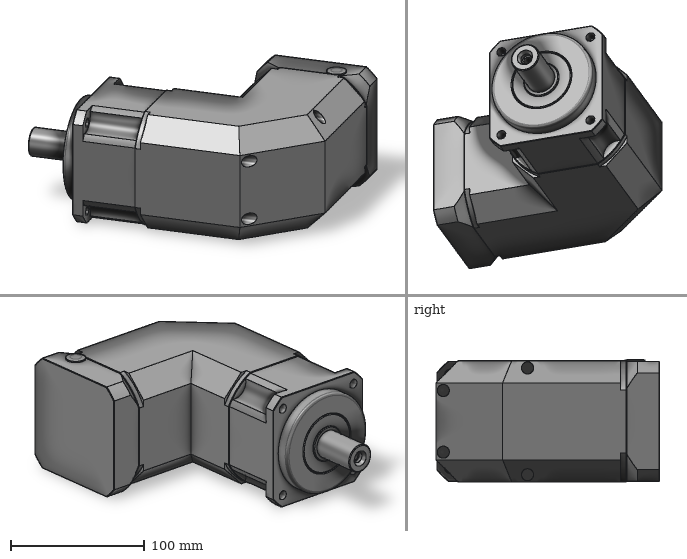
import cadquery as cq
import math


overall_length = 231.0
overall_height = 92.0
body_width = 91.0
stage_width = 89.9
half_body = body_width / 2
half_stage = stage_width / 2
input_axis_x = overall_length - half_body

collar_x = 36.5
pilot_x = 37.7
plate_x = 47.5
pocket_x = 56.0
joint_x = 97.3

joint_y = 97.5
taper_end_y = 105.3
adapter_end_y = 122.0

plate_corner_radius = 57.8
neck_corner_radius = 51.3
stage_corner_radius = 50.8
edge_chamfer = 0.5

body_chamfer = 16.6
neck_length = 4.6
bevel_offset = 4.5
access_hole_diameter = 9.0
access_hole_radius = 46.2
access_hole_angles = (60, 150, 210, 300)
access_hole_bottom_x = 161.7

pilot_diameter = 80.0
pilot_fillet = 2.0
seal_diameter = 47.0
seal_groove_depth = 0.7
plate_hole_diameter = 7.0
plate_hole_offset = 35.3
scoop_radius = 10.9
scoop_offset = 39.3

plug_diameter = 15.0
plug_top_diameter = 8.5
plug_x = 204.5
plug_y = 103.7
plug_root_z = half_stage - 2.3
plug_rim_z = 46.0
plug_top_z = overall_height - half_body

shaft_diameter = 22.0
shaft_chamfer = 0.7
collar_diameter = 28.0
collar_chamfer = 0.7
shaft_seat_depth = 46.2
countersink_diameter = 12.0
relief_diameter = 8.5
relief_depth = 6.0
tap_diameter = 6.0
tap_depth = 18.5
countersink_half_angle = 30
drill_half_angle = 59


def along_x(x):
    """Workplane at X = x facing +X, with local axes Y and Z."""
    return cq.Workplane("YZ", origin=(x, 0, 0))


def along_y(y):
    """Workplane on the input axis at Y = y facing +Y, with local axes Z and X."""
    return cq.Workplane("ZX", origin=(input_axis_x, y, 0))


def rounded_square(plane, width, corner_radius, length):
    """Square bar whose corners are cut back to a cylinder about its axis."""
    square = plane.rect(width, width).extrude(length)
    return square.intersect(plane.circle(corner_radius).extrude(length))


def cylinder_x(x, diameter, length):
    return along_x(x).circle(diameter / 2).extrude(length)


def make_angle_housing():
    inner_x = input_axis_x - half_body
    start_x = joint_x + neck_length
    end_y = joint_y - neck_length
    outline = [
        (start_x, -half_body),
        (input_axis_x - bevel_offset, -half_body),
        (overall_length, bevel_offset),
        (overall_length, end_y),
        (inner_x, end_y),
        (inner_x, half_body),
        (start_x, half_body),
    ]
    elbow = (
        cq.Workplane("XY", origin=(0, 0, -half_body))
        .polyline(outline)
        .close()
        .extrude(body_width)
    )
    elbow = elbow.faces("|Z").edges("not (<X or >Y)").chamfer(body_chamfer)
    output_neck = rounded_square(along_x(joint_x), body_width, neck_corner_radius, neck_length)
    output_neck = output_neck.faces("<X").edges().chamfer(edge_chamfer)
    input_neck = rounded_square(along_y(joint_y), body_width, neck_corner_radius, -neck_length)
    input_neck = input_neck.faces(">Y").edges().chamfer(edge_chamfer)
    return elbow.union(output_neck).union(input_neck).cut(make_access_holes())


def make_access_holes():
    """Blind holes parallel to X that break out of the bevel and side chamfers."""
    centres = [
        (
            access_hole_radius * math.cos(math.radians(angle)),
            access_hole_radius * math.sin(math.radians(angle)),
        )
        for angle in access_hole_angles
    ]
    return (
        along_x(access_hole_bottom_x)
        .pushPoints(centres)
        .circle(access_hole_diameter / 2)
        .extrude(overall_length - access_hole_bottom_x)
    )


def make_output_stage():
    plate = rounded_square(
        along_x(plate_x), stage_width, plate_corner_radius, pocket_x - plate_x
    )
    plate = plate.faces("<X").edges().chamfer(edge_chamfer)
    plate = plate.cut(
        along_x(plate_x)
        .rect(2 * plate_hole_offset, 2 * plate_hole_offset, forConstruction=True)
        .vertices()
        .circle(plate_hole_diameter / 2)
        .extrude(pocket_x - plate_x)
    )
    neck = rounded_square(
        along_x(pocket_x), stage_width, stage_corner_radius, joint_x - pocket_x
    )
    scoops = (
        along_x(pocket_x)
        .rect(2 * scoop_offset, 2 * scoop_offset, forConstruction=True)
        .vertices()
        .circle(scoop_radius)
        .extrude(joint_x - pocket_x)
    )
    pilot = (
        cylinder_x(pilot_x, pilot_diameter, plate_x - pilot_x)
        .faces("<X")
        .edges()
        .fillet(pilot_fillet)
    )
    seal_radius = seal_diameter / 2
    seal_groove = (
        cq.Workplane("XY")
        .polyline([
            (pilot_x, seal_radius - seal_groove_depth),
            (pilot_x + seal_groove_depth, seal_radius),
            (pilot_x, seal_radius + seal_groove_depth),
        ])
        .close()
        .revolve(360, (0, 0, 0), (1, 0, 0))
    )
    return plate.union(neck.cut(scoops)).union(pilot.cut(seal_groove))


def make_adapter():
    block = along_y(joint_y).rect(stage_width, stage_width).extrude(adapter_end_y - joint_y)
    envelope = (
        cq.Workplane("XY", origin=(input_axis_x, 0, 0))
        .moveTo(0, joint_y)
        .lineTo(neck_corner_radius, joint_y)
        .lineTo(plate_corner_radius, taper_end_y)
        .lineTo(plate_corner_radius, adapter_end_y)
        .lineTo(0, adapter_end_y)
        .close()
        .revolve(360, (0, 0, 0), (0, 1, 0))
    )
    block = block.intersect(envelope).faces(">Y").edges().chamfer(edge_chamfer)
    return block.union(make_plug())


def make_plug():
    """Cap of the clamp-screw access hole, on top of the adapter."""
    return (
        cq.Workplane("XZ", origin=(plug_x, plug_y, 0))
        .moveTo(0, plug_root_z)
        .lineTo(plug_diameter / 2, plug_root_z)
        .lineTo(plug_diameter / 2, plug_rim_z)
        .lineTo(plug_top_diameter / 2, plug_top_z)
        .lineTo(0, plug_top_z)
        .close()
        .revolve(360, (0, 0, 0), (0, 1, 0))
    )


def make_shaft():
    shaft = cylinder_x(0, shaft_diameter, collar_x).faces("<X").edges().chamfer(shaft_chamfer)
    collar = cylinder_x(collar_x, collar_diameter, pilot_x + shaft_seat_depth - collar_x)
    collar = collar.faces("<X").edges().chamfer(collar_chamfer)
    return shaft.union(collar).cut(make_centre_hole())


def make_centre_hole():
    """Tapped centre hole: countersink, thread relief, tap drill and its point."""
    countersink_depth = (countersink_diameter - relief_diameter) / 2 / math.tan(
        math.radians(countersink_half_angle)
    )
    point_depth = tap_diameter / 2 / math.tan(math.radians(drill_half_angle))
    return (
        cq.Workplane("XY")
        .polyline([
            (0, 0),
            (0, countersink_diameter / 2),
            (countersink_depth, relief_diameter / 2),
            (relief_depth, relief_diameter / 2),
            (relief_depth, tap_diameter / 2),
            (tap_depth, tap_diameter / 2),
            (tap_depth + point_depth, 0),
        ])
        .close()
        .revolve(360, (0, 0, 0), (1, 0, 0))
    )


shaft = make_shaft()
shaft_seat = cylinder_x(pilot_x, collar_diameter, shaft_seat_depth)
casing = make_angle_housing().union(make_output_stage()).union(make_adapter()).cut(shaft_seat)

result = cq.Compound.makeCompound([casing.val(), shaft.val()])